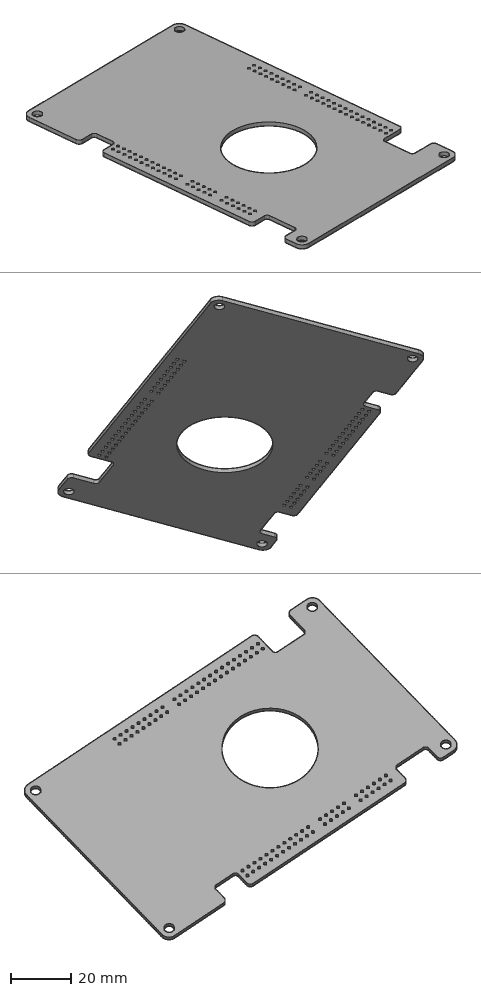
import cadquery as cq

length = 125.0
width = 78.0
thickness = 1.6
corner_radius = 3.0

mount_diameter = 3.5
mount_inset = 3.5

window_diameter = 32.0
window_x = 12.5

rear_notch = (37.5, 51.1, 10.4)
front_notch_depth = 7.2
front_notches = [(-37.1, -27.5, front_notch_depth), (40.0, 53.6, front_notch_depth)]
notch_mouth_radius = 1.5
notch_floor_radius = 1.2

pin_diameter = 1.0
pin_first_x = -25.5
pin_last_x = 35.6
pin_columns = 25
pin_lines = 2
pin_pitch = (pin_last_x - pin_first_x) / (pin_columns - 1)
pin_outer_y = 35.2
rear_gaps = {9}
front_gaps = {12, 18}


def notch_cutter(left, right, depth, side):
    """Notch in the long edge on the given side (+1 rear, -1 front), with all four corners rounded."""
    edge_y = side * width / 2
    floor_y = edge_y - side * depth
    mouth = notch_mouth_radius
    floor = notch_floor_radius
    bow = 1 - 0.5**0.5
    return (
        cq.Workplane("XY")
        .moveTo(left - mouth, edge_y)
        .threePointArc((left - bow * mouth, edge_y - side * bow * mouth), (left, edge_y - side * mouth))
        .lineTo(left, floor_y + side * floor)
        .threePointArc((left + bow * floor, floor_y + side * bow * floor), (left + floor, floor_y))
        .lineTo(right - floor, floor_y)
        .threePointArc((right - bow * floor, floor_y + side * bow * floor), (right, floor_y + side * floor))
        .lineTo(right, edge_y - side * mouth)
        .threePointArc((right + bow * mouth, edge_y - side * bow * mouth), (right + mouth, edge_y))
        .close()
        .extrude(thickness)
    )


def pin_points(side, gaps):
    """Hole centres of the two pin lines along one long edge, leaving out the gap columns."""
    return [
        (pin_first_x + column * pin_pitch, side * (pin_outer_y - line * pin_pitch))
        for column in range(pin_columns)
        if column not in gaps
        for line in range(pin_lines)
    ]


def round_holes(points, diameter):
    return cq.Workplane("XY").pushPoints(points).circle(diameter / 2).extrude(thickness)


board = cq.Workplane("XY").rect(length, width).extrude(thickness).edges("|Z").fillet(corner_radius)

board = board.cut(notch_cutter(*rear_notch, 1))
for notch in front_notches:
    board = board.cut(notch_cutter(*notch, -1))

mount_x = length / 2 - mount_inset
mount_y = width / 2 - mount_inset
mount_points = [(sx * mount_x, sy * mount_y) for sx in (-1, 1) for sy in (-1, 1)]
board = board.cut(round_holes(mount_points, mount_diameter))
board = board.cut(round_holes([(window_x, 0)], window_diameter))
board = board.cut(round_holes(pin_points(1, rear_gaps) + pin_points(-1, front_gaps), pin_diameter))

result = board